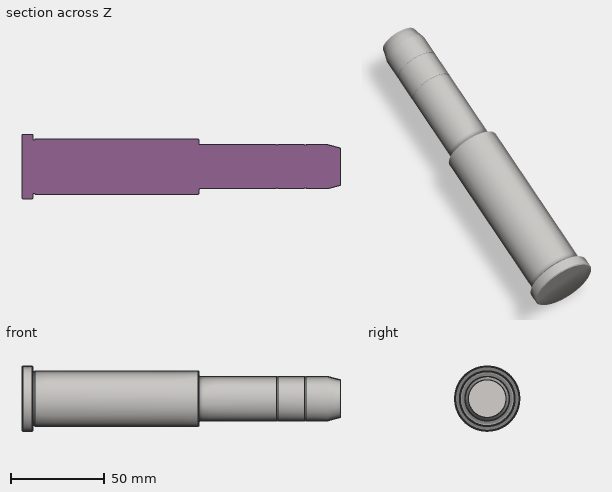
import cadquery as cq
import math

total_length = 171.0
flange_thickness = 6.0
body_end = 95.0
taper_length = 7.0
taper_angle = 15.0

flange_diameter = 35.0
body_diameter = 30.0
shank_diameter = 24.0

flange_chamfer = 0.5
body_chamfer = 0.5
relief_width = 1.0
relief_depth = 0.5
root_fillet = 0.5
groove_width = 0.9
groove_depth = 0.25
groove_centers = (137.0, 152.0)


def cylinder(start, end, diameter):
    """Solid cylinder along X between two stations."""
    return cq.Workplane("YZ", origin=(start, 0, 0)).circle(diameter / 2).extrude(end - start)


def ring_groove(start, width, outer_diameter, depth):
    """Ring-shaped cutter that lowers a cylinder's surface by the given depth."""
    ring = cq.Workplane("YZ", origin=(start, 0, 0)).circle(outer_diameter / 2)
    return ring.circle(outer_diameter / 2 - depth).extrude(width)


flange = cylinder(0, flange_thickness, flange_diameter).edges().chamfer(flange_chamfer)
body = cylinder(flange_thickness, body_end, body_diameter).faces(">X").chamfer(body_chamfer)
shank = cylinder(body_end, total_length, shank_diameter)

taper_drop = taper_length * math.tan(math.radians(taper_angle))
shank = shank.faces(">X").edges().chamfer(taper_length, taper_drop)

result = flange.union(body).union(shank)

root_box = cq.selectors.BoxSelector(
    (body_end - root_fillet, -shank_diameter, -shank_diameter),
    (body_end + root_fillet, shank_diameter, shank_diameter),
)
body_face_edges = result.edges(root_box).edges("%CIRCLE")
result = body_face_edges.edges(cq.selectors.RadiusNthSelector(0)).fillet(root_fillet)

result = result.cut(ring_groove(flange_thickness, relief_width, body_diameter, relief_depth))

for center in groove_centers:
    groove_start = center - groove_width / 2
    result = result.cut(ring_groove(groove_start, groove_width, shank_diameter, groove_depth))